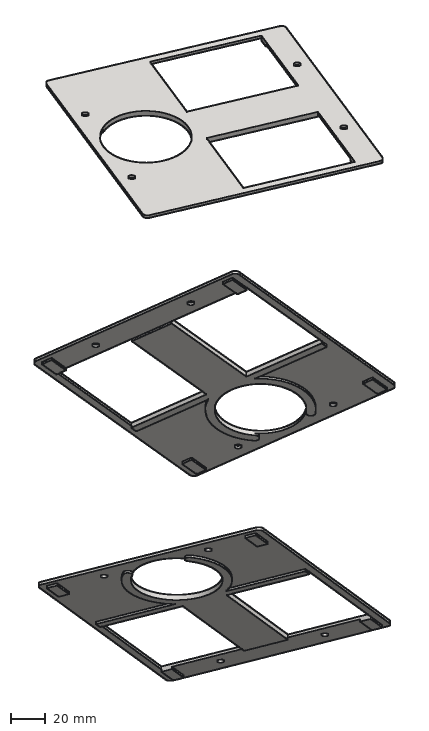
import cadquery as cq
import math

plate_size = 150.0
corner_radius = 3.0
plate_thickness = 2.0
total_height = 3.5
rib_height = total_height - plate_thickness

window_inner_x = 14.7
window_outer_x = 70.0
window_bottom_y = -11.1
window_top_y = 58.5

opening_diameter = 53.0
opening_y = -42.9
ring_outer_radius = 32.0
ring_gap_half_angle = math.radians(45)

screw_diameter = 4.0
screw_x = 35.0
screw_y = 66.3

pad_width = 7.0
pad_outer_y = 72.0
cross_rib_width = 4.8


def box_between(x_start, x_end, y_start, y_end, height):
    """Box rising from the bottom plane between the given edges."""
    return cq.Workplane("XY").box(
        x_end - x_start, y_end - y_start, height, centered=False
    ).translate((x_start, y_start, 0))


def make_plate():
    return (
        cq.Workplane("XY", origin=(0, 0, rib_height))
        .rect(plate_size, plate_size)
        .extrude(plate_thickness)
        .edges("|Z")
        .fillet(corner_radius)
    )


def make_open_ring():
    """Ring around the opening, open towards -Y, with rounded ends."""
    inner_radius = opening_diameter / 2
    middle_radius = (inner_radius + ring_outer_radius) / 2
    end_radius = (ring_outer_radius - inner_radius) / 2
    sine = math.sin(ring_gap_half_angle)
    cosine = math.cos(ring_gap_half_angle)

    def end_point(side, radius):
        return (side * radius * sine, -radius * cosine)

    def cap_tip(side):
        x, y = end_point(side, middle_radius)
        return (x - side * end_radius * cosine, y - end_radius * sine)

    return (
        cq.Workplane("XY", origin=(0, opening_y, 0))
        .moveTo(*end_point(-1, ring_outer_radius))
        .threePointArc((0, ring_outer_radius), end_point(1, ring_outer_radius))
        .threePointArc(cap_tip(1), end_point(1, inner_radius))
        .threePointArc((0, inner_radius), end_point(-1, inner_radius))
        .threePointArc(cap_tip(-1), end_point(-1, ring_outer_radius))
        .close()
        .extrude(rib_height)
    )


result = make_plate().union(make_open_ring())

result = result.union(
    box_between(-window_inner_x, window_inner_x, window_bottom_y, window_top_y, rib_height)
)
result = result.union(
    box_between(
        -window_outer_x, window_outer_x, window_bottom_y - cross_rib_width, window_bottom_y, rib_height
    )
)

pad_length = pad_outer_y - window_top_y
for side_x in (-1, 1):
    for side_y in (-1, 1):
        pad = cq.Workplane("XY").box(pad_width, pad_length, rib_height, centered=(True, True, False))
        pad_x = side_x * (window_outer_x - pad_width / 2)
        pad_y = side_y * (pad_outer_y - pad_length / 2)
        result = result.union(pad.translate((pad_x, pad_y, 0)))

for window_left_x in (-window_outer_x, window_inner_x):
    window_right_x = window_left_x + window_outer_x - window_inner_x
    window = box_between(window_left_x, window_right_x, window_bottom_y, window_top_y, total_height)
    result = result.cut(window)

opening = cq.Workplane("XY", origin=(0, opening_y, 0)).circle(opening_diameter / 2).extrude(total_height)
result = result.cut(opening)

screw_holes = (
    cq.Workplane("XY")
    .rect(2 * screw_x, 2 * screw_y, forConstruction=True)
    .vertices()
    .circle(screw_diameter / 2)
    .extrude(total_height)
)
result = result.cut(screw_holes)